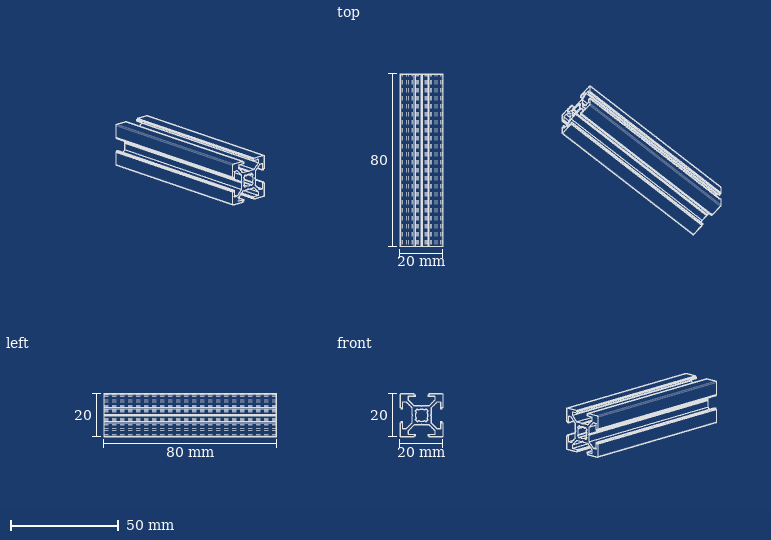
import cadquery as cq
import math

width = 20.0
length = 80.0
half_width = width / 2
corner_radius = 0.5

mouth_half_width = 3.5
lip_half_width = 3.0
mouth_depth = 0.5
lip_thickness = 1.2
cavity_half_width = 6.2
floor_height = 4.5

web_offset = 1.0

groove_half_width = 0.3
groove_depth = 0.3

bore_radius = 2.8
channel_radius = 3.5
channel_width = math.sqrt(2) * web_offset

QUARTER_TURNS = (0, 90, 180, 270)


def profile_plane():
    """XZ workplane at the +Y end; a positive extrusion runs towards -Y."""
    return cq.Workplane("XZ", origin=(0, length / 2, 0))


def make_blank():
    return profile_plane().rect(width, width).extrude(length).edges("|Y").fillet(corner_radius)


def make_slot():
    """T-slot opening towards +Z, with the V-groove in its floor."""
    lip_outer = half_width - mouth_depth
    lip_inner = half_width - lip_thickness
    right_side = [
        (groove_half_width, floor_height),
        (floor_height - web_offset, floor_height),
        (cavity_half_width, cavity_half_width + web_offset),
        (cavity_half_width, lip_inner),
        (lip_half_width, lip_inner),
        (lip_half_width, lip_outer),
        (mouth_half_width, lip_outer),
        (mouth_half_width, half_width),
    ]
    left_side = [(-x, z) for x, z in reversed(right_side)]
    groove_bottom = (0, floor_height - groove_depth)
    return profile_plane().polyline([groove_bottom] + right_side + left_side).close().extrude(length)


def make_bore():
    """Round bore joined with diagonal channels that end on a larger circle."""
    bore = profile_plane().circle(bore_radius).extrude(length)
    channel_limit = profile_plane().circle(channel_radius).extrude(length)
    for angle in (45, 135):
        band = profile_plane().rect(width, channel_width).extrude(length)
        band = band.rotate((0, 0, 0), (0, 1, 0), angle)
        bore = bore.union(band.intersect(channel_limit))
    return bore


result = make_blank().cut(make_bore())
for turn in QUARTER_TURNS:
    result = result.cut(make_slot().rotate((0, 0, 0), (0, 1, 0), turn))